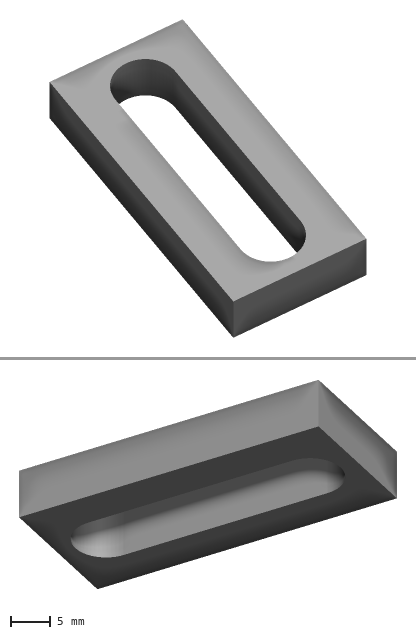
import cadquery as cq

plate_length = 44.0
plate_width = 20.0
plate_thickness = 7.0

slot_length = 39.0
slot_width = 9.0

plate = cq.Workplane("XY").box(plate_length, plate_width, plate_thickness)

result = plate.faces(">Z").workplane().slot2D(slot_length, slot_width).cutThruAll()